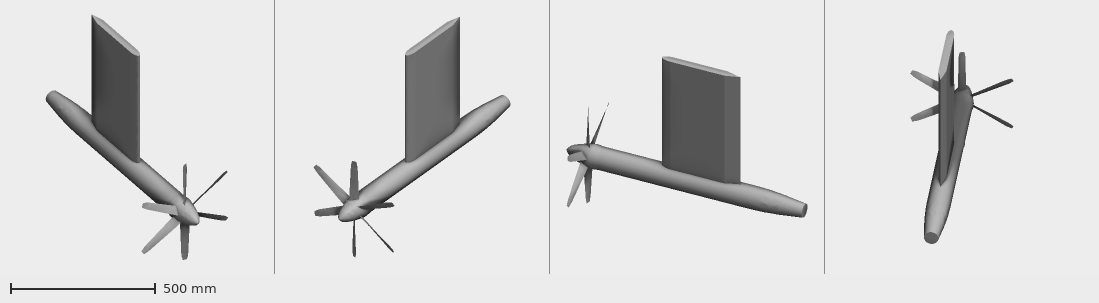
import cadquery as cq
import math


TAIL_RADIUS = 25.0
CONE_END_X = 76.0
CONE_END_RADIUS = 34.5
SHOULDER_END_X = 198.0
TUBE_RADIUS = 41.7
TUBE_END_X = 764.0

COLLAR_END_X = 799.0
COLLAR_BULGE_RADIUS = 44.0
COLLAR_END_RADIUS = 43.0

NOSE_X = 896.0
SPINNER_STATIONS = [(828.0, 37.0), (857.0, 28.0), (878.0, 19.0)]

PYLON_TAIL_X = 242.0
PYLON_FLANK_START_X = 296.0
PYLON_FLANK_END_X = 498.0
PYLON_NOSE_X = 536.0
PYLON_THICKNESS = 28.0
PYLON_TOP_Z = 500.0

BLADE_COUNT = 6
BLADE_X = 814.0
BLADE_STATIONS = [
    (22.0, 33.0, 49, 5.0),
    (90.0, 30.5, 38, 4.5),
    (143.0, 28.0, 27, 4.0),
    (179.0, 24.6, 20, 3.0),
    (203.0, 15.7, 17, 2.0),
]


def revolve_about_x(profile):
    """Revolve a closed (x, radius) profile once around the X axis."""
    return profile.close().revolve(360, (0, 0, 0), (1, 0, 0))


def make_nacelle():
    run = SHOULDER_END_X - CONE_END_X
    rise = TUBE_RADIUS - CONE_END_RADIUS
    arc_radius = (run**2 + rise**2) / (2 * rise)
    half_sweep = math.asin(run / arc_radius) / 2
    arc_middle = (
        SHOULDER_END_X - arc_radius * math.sin(half_sweep),
        TUBE_RADIUS - arc_radius * (1 - math.cos(half_sweep)),
    )
    profile = (
        cq.Workplane("XY")
        .lineTo(0, TAIL_RADIUS)
        .lineTo(CONE_END_X, CONE_END_RADIUS)
        .threePointArc(arc_middle, (SHOULDER_END_X, TUBE_RADIUS))
        .lineTo(TUBE_END_X, TUBE_RADIUS)
        .lineTo(TUBE_END_X, 0)
    )
    return revolve_about_x(profile)


def make_collar():
    middle_x = (TUBE_END_X + COLLAR_END_X) / 2
    profile = (
        cq.Workplane("XY")
        .moveTo(TUBE_END_X, 0)
        .lineTo(TUBE_END_X, TUBE_RADIUS)
        .threePointArc((middle_x, COLLAR_BULGE_RADIUS), (COLLAR_END_X, COLLAR_END_RADIUS))
        .lineTo(COLLAR_END_X, 0)
    )
    return revolve_about_x(profile)


def make_spinner():
    profile = (
        cq.Workplane("XY")
        .moveTo(COLLAR_END_X, 0)
        .lineTo(COLLAR_END_X, COLLAR_END_RADIUS)
        .spline(SPINNER_STATIONS + [(NOSE_X, 0)], includeCurrent=True)
    )
    return revolve_about_x(profile)


def make_pylon(nacelle):
    """Extrude the pylon section up from the axis and fit its foot to the nacelle."""
    half_thickness = PYLON_THICKNESS / 2
    nose_length = PYLON_NOSE_X - PYLON_FLANK_END_X
    block = (
        cq.Workplane("XY")
        .moveTo(PYLON_TAIL_X, 0)
        .lineTo(PYLON_FLANK_START_X, -half_thickness)
        .lineTo(PYLON_FLANK_END_X, -half_thickness)
        .ellipseArc(nose_length, half_thickness, -90, 90, startAtCurrent=True)
        .lineTo(PYLON_FLANK_START_X, half_thickness)
        .close()
        .extrude(PYLON_TOP_Z)
    )
    return block.cut(nacelle).solids()


def blade_section(radius, chord, pitch, thickness):
    """Lens-shaped section, turned by its pitch, at a height above the axis."""
    half_chord = chord / 2
    half_thickness = thickness / 2
    return (
        cq.Workplane("XY")
        .moveTo(0, -half_chord)
        .threePointArc((half_thickness, 0), (0, half_chord))
        .threePointArc((-half_thickness, 0), (0, -half_chord))
        .close()
        .val()
        .rotate(cq.Vector(0, 0, 0), cq.Vector(0, 0, 1), pitch)
        .translate(cq.Vector(BLADE_X, 0, radius))
    )


def make_blade(spinner, collar):
    """Upright twisted blade, its root fitted to the spinner and collar surfaces."""
    sections = [blade_section(*station) for station in BLADE_STATIONS]
    blade = cq.Workplane(cq.Solid.makeLoft(sections))
    return blade.cut(spinner).cut(collar).solids()


nacelle = make_nacelle()
collar = make_collar()
spinner = make_spinner()
pylon = make_pylon(nacelle)
upright_blade = make_blade(spinner, collar)

blades = []
for index in range(BLADE_COUNT):
    angle = index * 360 / BLADE_COUNT
    blades.append(upright_blade.rotate((0, 0, 0), (1, 0, 0), angle).val())

result = cq.Compound.makeCompound(
    [nacelle.val(), collar.val(), spinner.val(), pylon.val(), *blades]
)